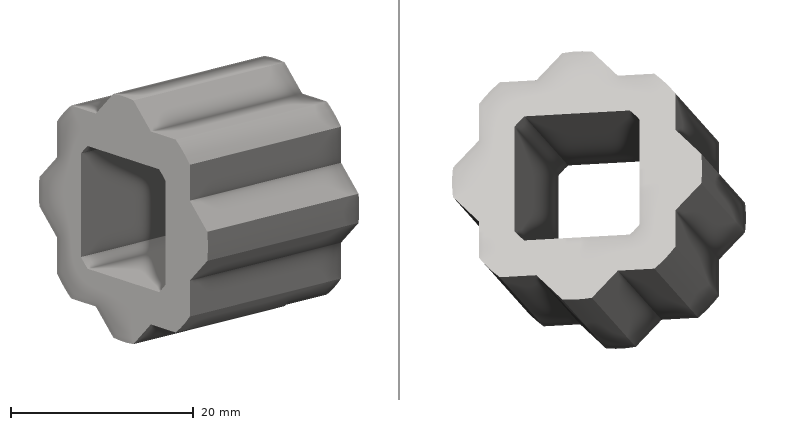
import cadquery as cq

outer_diameter = 27.98
length = 22.0
square_side = length
bore_side = 14.0
bore_diameter = 18.3


def square_prism(side, angle=0):
    """Square bar along Y, centred on the origin, turned about Y."""
    bar = cq.Workplane("XZ").rect(side, side).extrude(length / 2, both=True)
    return bar.rotate((0, 0, 0), (0, 1, 0), angle)


def cylinder(diameter):
    """Round bar along Y, centred on the origin."""
    return cq.Workplane("XZ").circle(diameter / 2).extrude(length / 2, both=True)


star = square_prism(square_side).union(square_prism(square_side, 45))
body = star.intersect(cylinder(outer_diameter))

bore = square_prism(bore_side).intersect(cylinder(bore_diameter))

result = body.cut(bore)